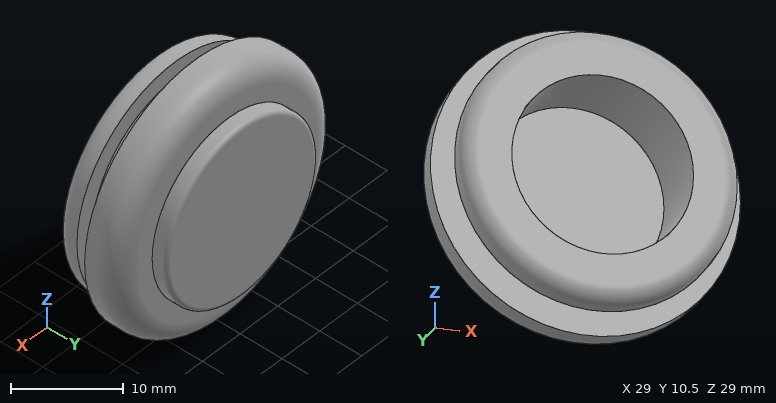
import cadquery as cq

flange_diameter = 29.0
lip_diameter = 26.0
groove_diameter = 22.0
boss_diameter = 20.0
bore_diameter = 17.0

lip_length = 2.5
groove_length = 2.25
flange_length = 4.0
boss_length = 1.75
bore_depth = 8.25

lip_fillet = 1.5
flange_fillet = 2.5
boss_fillet = 0.5


def disc(diameter, start, length):
    """Cylinder about the Y axis, running toward +Y from the given start."""
    plane = cq.Workplane("XZ", origin=(0, start, 0))
    return plane.circle(diameter / 2).extrude(-length)


groove_start = lip_length
flange_start = groove_start + groove_length
boss_start = flange_start + flange_length

lip = disc(lip_diameter, 0, lip_length).faces("<Y").edges().fillet(lip_fillet)
groove = disc(groove_diameter, groove_start, groove_length)
flange = disc(flange_diameter, flange_start, flange_length).faces(">Y").edges().fillet(flange_fillet)
boss = disc(boss_diameter, boss_start, boss_length).faces(">Y").edges().fillet(boss_fillet)

bore = disc(bore_diameter, 0, bore_depth)

result = lip.union(groove).union(flange).union(boss).cut(bore)